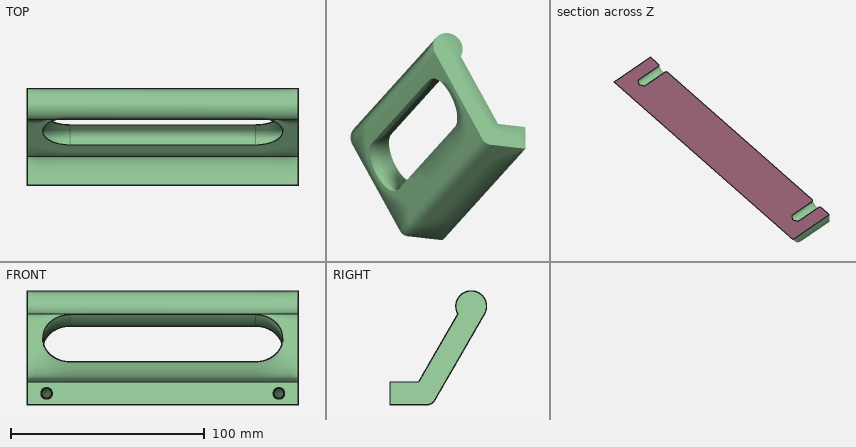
import cadquery as cq
import math

length = 140.0
depth = 50.0
height = 59.0
thickness = 12.0
grip_radius = 8.0
arm_angle = 60.0
heel_radius = 5.0

slot_end_margin = 8.0
slot_width = 28.0
slot_base_gap = 12.0

hole_diameter = 4.92
hole_mouth_diameter = 6.0
hole_depth = 15.0
hole_tip_angle = 118.0
hole_end_margin = 10.0

cos_arm = math.cos(math.radians(arm_angle))
sin_arm = math.sin(math.radians(arm_angle))
grip_y = depth - grip_radius
grip_z = height - grip_radius


def arm_point(along, across):
    """Point measured from the grip axis: along the slope, and across it towards the back."""
    return (
        grip_y + along * cos_arm + across * sin_arm,
        grip_z + along * sin_arm - across * cos_arm,
    )


back_across = grip_radius
front_across = grip_radius - thickness
front_top_y, front_top_z = arm_point(0, front_across)
back_top_y, back_top_z = arm_point(0, back_across)
bend_y = front_top_y - (front_top_z - thickness) * cos_arm / sin_arm
heel_y = back_top_y - back_top_z * cos_arm / sin_arm


def make_body():
    """Base and arm as one extruded outline, with the round grip bar joined on."""
    outline = [
        (0, 0),
        (heel_y, 0),
        (back_top_y, back_top_z),
        (front_top_y, front_top_z),
        (bend_y, thickness),
        (0, thickness),
    ]
    bracket = cq.Workplane("YZ").polyline(outline).close().extrude(length)
    heel = cq.selectors.NearestToPointSelector((length / 2, heel_y, 0))
    bracket = bracket.edges(heel).fillet(heel_radius)
    grip = cq.Workplane("YZ").center(grip_y, grip_z).circle(grip_radius).extrude(length)
    return bracket.union(grip)


def make_slot():
    """Round-ended slot cutter, square to the front face of the arm."""
    center_along = slot_base_gap + slot_width / 2
    center = (
        length / 2,
        bend_y + center_along * cos_arm,
        thickness + center_along * sin_arm,
    )
    face = cq.Plane(origin=center, xDir=(1, 0, 0), normal=(0, -sin_arm, cos_arm))
    slot_length = length - 2 * slot_end_margin
    return cq.Workplane(face).slot2D(slot_length, slot_width).extrude(thickness, both=True)


def make_hole(x):
    """Blind drilled hole cutter with a 45 degree chamfered mouth and a conical tip."""
    radius = hole_diameter / 2
    mouth_radius = hole_mouth_diameter / 2
    tip_length = radius / math.tan(math.radians(hole_tip_angle / 2))
    half_section = [
        (0, 0),
        (mouth_radius, 0),
        (radius, mouth_radius - radius),
        (radius, hole_depth),
        (0, hole_depth + tip_length),
    ]
    hole = cq.Workplane("XY").polyline(half_section).close().revolve(360, (0, 0), (0, 1))
    return hole.translate((x, 0, thickness / 2))


result = make_body().cut(make_slot())
for hole_x in (hole_end_margin, length - hole_end_margin):
    result = result.cut(make_hole(hole_x))